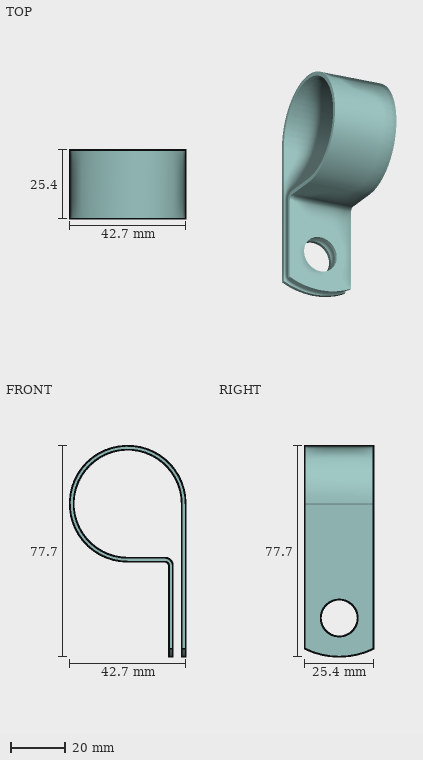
import cadquery as cq
import math

thickness = 1.524
width = 25.4

outer_radius = 42.72 / 2
inner_radius = outer_radius - thickness

overall_height = 77.7
tip_z = outer_radius - overall_height
leg_gap = 3.175
tip_radius = 28.575

bend_outer_radius = 3.0
bend_inner_radius = bend_outer_radius - thickness

hole_diameter = 13.494
hole_above_tip = 14.2875
hole_z = tip_z + hole_above_tip

short_leg_gap_x = inner_radius - leg_gap
short_leg_outside_x = short_leg_gap_x - thickness
bend_x = short_leg_gap_x - bend_outer_radius
bend_z = -inner_radius - bend_outer_radius


def point_at(center, radius, degrees):
    """Point on a circle in the XZ plane, the angle counted from +X towards +Z."""
    angle = math.radians(degrees)
    return (center[0] + radius * math.cos(angle), center[1] + radius * math.sin(angle))


def bent_strip():
    """P-shaped strip: long leg, three-quarter loop, flat, bend and short leg."""
    loop_center = (0, 0)
    bend_center = (bend_x, bend_z)
    loop_middle = 135
    bend_middle = 45
    profile = (
        cq.Workplane("XZ")
        .moveTo(outer_radius, tip_z)
        .lineTo(outer_radius, 0)
        .threePointArc(point_at(loop_center, outer_radius, loop_middle), (0, -outer_radius))
        .lineTo(bend_x, -outer_radius)
        .threePointArc(
            point_at(bend_center, bend_inner_radius, bend_middle),
            (short_leg_outside_x, bend_z),
        )
        .lineTo(short_leg_outside_x, tip_z)
        .lineTo(short_leg_gap_x, tip_z)
        .lineTo(short_leg_gap_x, bend_z)
        .threePointArc(
            point_at(bend_center, bend_outer_radius, bend_middle),
            (bend_x, -inner_radius),
        )
        .lineTo(0, -inner_radius)
        .threePointArc(point_at(loop_center, inner_radius, loop_middle), (inner_radius, 0))
        .lineTo(inner_radius, tip_z)
        .close()
    )
    return profile.extrude(width / 2, both=True)


def tip_envelope():
    """Block around the strip whose lower face is the arc that rounds both leg tips."""
    half_width = width / 2
    tip_arc_height = tip_radius - math.sqrt(tip_radius**2 - half_width**2)
    corner_z = tip_z + tip_arc_height
    return (
        cq.Workplane("YZ")
        .moveTo(-half_width, outer_radius)
        .lineTo(-half_width, corner_z)
        .threePointArc((0, tip_z), (half_width, corner_z))
        .lineTo(half_width, outer_radius)
        .close()
        .extrude(outer_radius, both=True)
    )


def bolt_hole():
    """Cylinder along X that pierces both legs."""
    return (
        cq.Workplane("YZ")
        .center(0, hole_z)
        .circle(hole_diameter / 2)
        .extrude(outer_radius, both=True)
    )


result = bent_strip().intersect(tip_envelope()).cut(bolt_hole())